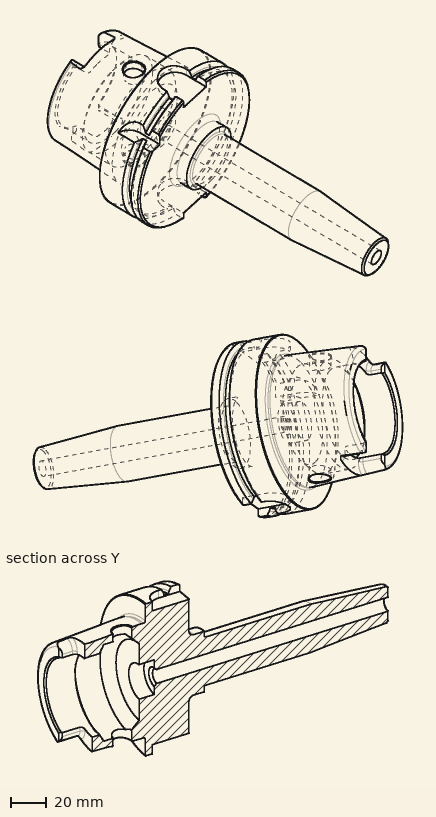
import cadquery as cq
import math


SHANK_LENGTH = 50.0
GAUGE_RADIUS = 75.0 / 2
GAUGE_X = -10.0
TAPER_SLOPE = 0.05
TIP_ROUNDING = 2.0
RELIEF_RADIUS = 75.42 / 2
RELIEF_LENGTH = 2.5
RELIEF_CORNER = 1.2

FLANGE_RADIUS = 100.0 / 2
FLANGE_WIDTH = 29.0
FLANGE_CHAMFER = 1.0
FACE_EDGE_CHAMFER = 0.4
GROOVE_X = 20.0
GROOVE_BOTTOM_RADIUS = 46.0
GROOVE_SHOULDER_RADIUS = 47.5
GROOVE_BOTTOM_HALF = 1.35
GROOVE_SHOULDER_HALF = 1.9
GROOVE_TOP_HALF = 3.2

COLLAR_RADIUS = 40.0 / 2
COLLAR_END_X = 39.0
COLLAR_FILLET = 3.0
NOSE_RADIUS = 32.0 / 2
NOSE_FILLET = 1.0
NOSE_END_X = 160.0
NOSE_TIP_RADIUS = 24.0 / 2
NOSE_TAPER_ANGLE = 4.5
NOSE_TIP_CHAMFER = 1.0

MOUTH_RADIUS = 53.0 / 2
MOUTH_CHAMFER = 1.0
LIP_X = -30.0
CAVITY_RADIUS = 63.0 / 2
LIP_ANGLE = 60.0
CAVITY_END_X = -10.5
FLOOR_RADIUS = 50.0 / 2
TUBE_SEAT_RADIUS = 22.38 / 2
TUBE_SEAT_DEPTH = 10.0
COOLANT_RADIUS = 8.92 / 2
COOLANT_MOUTH_RADIUS = 12.0 / 2

KEYWAY_WIDTH = 20.0
KEYWAY_LEDGE_Z = 32.4
KEYWAY_LEDGE_ROUNDING = 5.5
KEYWAY_FLOOR_FILLET = 2.0
KEYWAY_TIP_CHAMFER = 1.5
UPPER_KEYWAY_DEPTH = 10.0
LOWER_KEYWAY_DEPTH = 15.0

ACCESS_RADIUS = 12.0 / 2
ACCESS_X = -15.0
ACCESS_CHAMFER = 0.5

POCKET_RADIUS = 10.0
POCKET_CENTER_X = 14.8
RIM_POCKET_FLOOR_Z = 44.0
CORNER_POCKET_FLOOR_Z = 31.1
CORNER_POCKET_WALL_Y = -31.4

CLEARANCE = 10.0


def taper_radius(x):
    return GAUGE_RADIUS + (x - GAUGE_X) * TAPER_SLOPE


def revolve_about_x(profile):
    return profile.close().revolve(360, (0, 0, 0), (1, 0, 0))


def body():
    tip_x = -SHANK_LENGTH
    arc_offset = math.sqrt(0.5)
    collar_start = FLANGE_WIDTH + COLLAR_FILLET
    nose_slope = math.tan(math.radians(NOSE_TAPER_ANGLE))
    nose_taper_x = NOSE_END_X - (NOSE_RADIUS - NOSE_TIP_RADIUS) / nose_slope
    nose_edge_radius = NOSE_TIP_RADIUS + NOSE_TIP_CHAMFER * nose_slope
    profile = (
        cq.Workplane("XY")
        .moveTo(tip_x, 0)
        .lineTo(tip_x, taper_radius(tip_x) - TIP_ROUNDING)
        .threePointArc(
            (
                tip_x + TIP_ROUNDING * (1 - arc_offset),
                taper_radius(tip_x) - TIP_ROUNDING * (1 - arc_offset),
            ),
            (tip_x + TIP_ROUNDING, taper_radius(tip_x + TIP_ROUNDING)),
        )
        .lineTo(-RELIEF_LENGTH, taper_radius(-RELIEF_LENGTH))
        .lineTo(-RELIEF_CORNER, RELIEF_RADIUS)
        .radiusArc((0, RELIEF_RADIUS + RELIEF_CORNER), -RELIEF_CORNER)
        .lineTo(0, FLANGE_RADIUS - FACE_EDGE_CHAMFER)
        .lineTo(FACE_EDGE_CHAMFER, FLANGE_RADIUS)
        .lineTo(GROOVE_X - GROOVE_TOP_HALF, FLANGE_RADIUS)
        .lineTo(GROOVE_X - GROOVE_SHOULDER_HALF, GROOVE_SHOULDER_RADIUS)
        .lineTo(GROOVE_X - GROOVE_BOTTOM_HALF, GROOVE_BOTTOM_RADIUS)
        .lineTo(GROOVE_X + GROOVE_BOTTOM_HALF, GROOVE_BOTTOM_RADIUS)
        .lineTo(GROOVE_X + GROOVE_SHOULDER_HALF, GROOVE_SHOULDER_RADIUS)
        .lineTo(GROOVE_X + GROOVE_TOP_HALF, FLANGE_RADIUS)
        .lineTo(FLANGE_WIDTH - FLANGE_CHAMFER, FLANGE_RADIUS)
        .lineTo(FLANGE_WIDTH, FLANGE_RADIUS - FLANGE_CHAMFER)
        .lineTo(FLANGE_WIDTH, COLLAR_RADIUS + COLLAR_FILLET)
        .radiusArc((collar_start, COLLAR_RADIUS), -COLLAR_FILLET)
        .lineTo(COLLAR_END_X, COLLAR_RADIUS)
        .lineTo(COLLAR_END_X, NOSE_RADIUS + NOSE_FILLET)
        .radiusArc((COLLAR_END_X + NOSE_FILLET, NOSE_RADIUS), -NOSE_FILLET)
        .lineTo(nose_taper_x, NOSE_RADIUS)
        .lineTo(NOSE_END_X - NOSE_TIP_CHAMFER, nose_edge_radius)
        .lineTo(NOSE_END_X, NOSE_TIP_RADIUS - NOSE_TIP_CHAMFER)
        .lineTo(NOSE_END_X, 0)
    )
    return revolve_about_x(profile)


def axial_bores():
    tip_x = -SHANK_LENGTH
    lip_length = (CAVITY_RADIUS - MOUTH_RADIUS) / math.tan(math.radians(LIP_ANGLE))
    floor_x = CAVITY_END_X + CAVITY_RADIUS - FLOOR_RADIUS
    seat_x = floor_x + TUBE_SEAT_DEPTH
    coolant_x = seat_x + COOLANT_MOUTH_RADIUS - COOLANT_RADIUS
    profile = (
        cq.Workplane("XY")
        .moveTo(tip_x, 0)
        .lineTo(tip_x, MOUTH_RADIUS + MOUTH_CHAMFER)
        .lineTo(tip_x + MOUTH_CHAMFER, MOUTH_RADIUS)
        .lineTo(LIP_X, MOUTH_RADIUS)
        .lineTo(LIP_X + lip_length, CAVITY_RADIUS)
        .lineTo(CAVITY_END_X, CAVITY_RADIUS)
        .lineTo(floor_x, FLOOR_RADIUS)
        .lineTo(floor_x, TUBE_SEAT_RADIUS)
        .lineTo(seat_x, TUBE_SEAT_RADIUS)
        .lineTo(seat_x, COOLANT_MOUTH_RADIUS)
        .lineTo(coolant_x, COOLANT_RADIUS)
        .lineTo(NOSE_END_X, COOLANT_RADIUS)
        .lineTo(NOSE_END_X, 0)
    )
    return revolve_about_x(profile)


def keyway_channel(depth):
    """Keyway on the +Z side: a channel that opens through rounded corners onto two level ledges."""
    half_width = KEYWAY_WIDTH / 2
    rounding_start_z = KEYWAY_LEDGE_Z - KEYWAY_LEDGE_ROUNDING
    ledge_y = half_width + KEYWAY_LEDGE_ROUNDING
    far = FLANGE_RADIUS
    channel = (
        cq.Workplane("YZ", origin=(-SHANK_LENGTH, 0, 0))
        .moveTo(-half_width, 0)
        .lineTo(half_width, 0)
        .lineTo(half_width, rounding_start_z)
        .radiusArc((ledge_y, KEYWAY_LEDGE_Z), KEYWAY_LEDGE_ROUNDING)
        .lineTo(far, KEYWAY_LEDGE_Z)
        .lineTo(far, far)
        .lineTo(-far, far)
        .lineTo(-far, KEYWAY_LEDGE_Z)
        .lineTo(-ledge_y, KEYWAY_LEDGE_Z)
        .radiusArc((-half_width, rounding_start_z), KEYWAY_LEDGE_ROUNDING)
        .close()
        .extrude(depth)
    )
    return channel.faces(">X").edges().fillet(KEYWAY_FLOOR_FILLET)


def keyway_tip_chamfers():
    """Wedge that chamfers both side walls of a keyway where they meet the tip face."""
    tip_x = -SHANK_LENGTH
    wall_y = KEYWAY_WIDTH / 2
    mouth_y = wall_y + KEYWAY_TIP_CHAMFER
    return (
        cq.Workplane("XY")
        .moveTo(tip_x, -mouth_y)
        .lineTo(tip_x, mouth_y)
        .lineTo(tip_x + KEYWAY_TIP_CHAMFER, wall_y)
        .lineTo(tip_x + KEYWAY_TIP_CHAMFER, -wall_y)
        .close()
        .extrude(KEYWAY_LEDGE_Z)
    )


def keyway(depth):
    return keyway_channel(depth).union(keyway_tip_chamfers())


def shank_with_access_holes():
    """Solid body with one hole crossing the shank, chamfered at both mouths."""
    hole = (
        cq.Workplane("XY", origin=(ACCESS_X, 0, -FLANGE_RADIUS))
        .circle(ACCESS_RADIUS)
        .extrude(2 * FLANGE_RADIUS)
    )
    reach = ACCESS_RADIUS + ACCESS_CHAMFER
    mouth_zone = cq.selectors.BoxSelector(
        (ACCESS_X - reach, -reach, -FLANGE_RADIUS),
        (ACCESS_X + reach, reach, FLANGE_RADIUS),
        boundingbox=True,
    )
    return body().cut(hole).edges(mouth_zone).edges("not(|Z)").chamfer(ACCESS_CHAMFER)


def round_ended_pocket(center_y, floor_z):
    """Pocket open to +X and +Z, with a half-round end toward -X."""
    length = FLANGE_WIDTH + CLEARANCE - POCKET_CENTER_X
    height = FLANGE_RADIUS + CLEARANCE - floor_z
    base = cq.Workplane("XY", origin=(POCKET_CENTER_X, center_y, floor_z))
    round_end = base.circle(POCKET_RADIUS).extrude(height)
    channel = base.box(length, 2 * POCKET_RADIUS, height, centered=(False, True, False))
    return round_end.union(channel)


rim_pocket = round_ended_pocket(0, RIM_POCKET_FLOOR_Z)
corner_pocket = round_ended_pocket(CORNER_POCKET_WALL_Y - POCKET_RADIUS, CORNER_POCKET_FLOOR_Z)

result = (
    shank_with_access_holes()
    .cut(axial_bores())
    .cut(keyway(UPPER_KEYWAY_DEPTH))
    .cut(keyway(LOWER_KEYWAY_DEPTH).mirror("XY"))
    .cut(rim_pocket)
    .cut(rim_pocket.mirror("XY"))
    .cut(corner_pocket)
)